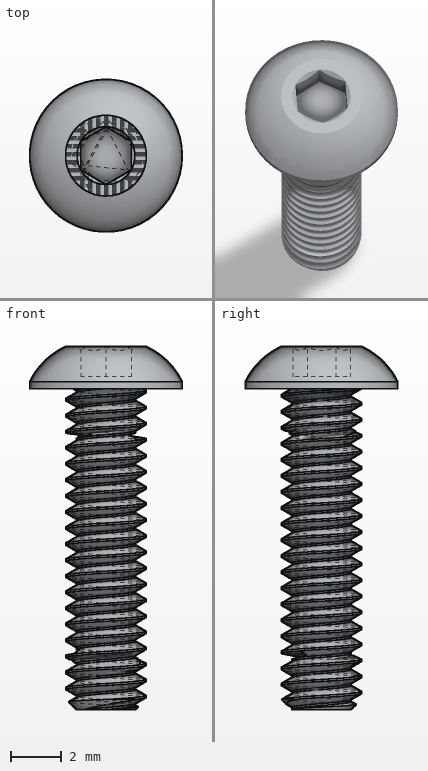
import cadquery as cq
import math

INCH = 25.4

head_diameter = 0.238 * INCH
head_height = 0.066 * INCH
head_flat_diameter = 0.126 * INCH
rim_height = 0.28
dome_bulge = 0.17

socket_across_flats = 5 / 64 * INCH
socket_depth = 1.17
socket_corner_diameter = socket_across_flats / math.cos(math.pi / 6)
countersink_half_angle = math.radians(45)

shank_length = 0.5 * INCH
major_diameter = 0.125 * INCH
pitch = INCH / 40
crest_width = pitch / 8
root_width = pitch / 8
flank_half_angle = math.radians(30)
thread_depth = (pitch - crest_width - root_width) / 2 / math.tan(flank_half_angle)
tip_chamfer = 0.42
first_crest_drop = 0.11
cutter_clearance = 0.04
groove_extra_turns = 3
blank_overrun = 4
envelope_clearance = 0.3


def make_head():
    """Revolve a domed profile with a short cylindrical rim."""
    rim_radius = head_diameter / 2
    flat_radius = head_flat_diameter / 2
    chord_run = rim_radius - flat_radius
    chord_rise = head_height - rim_height
    chord = math.hypot(chord_run, chord_rise)
    dome_middle = (
        (rim_radius + flat_radius) / 2 + dome_bulge * chord_rise / chord,
        (rim_height + head_height) / 2 + dome_bulge * chord_run / chord,
    )
    profile = (
        cq.Workplane("XZ")
        .lineTo(rim_radius, 0)
        .lineTo(rim_radius, rim_height)
        .threePointArc(dome_middle, (flat_radius, head_height))
        .lineTo(0, head_height)
        .close()
    )
    return profile.revolve(360, (0, 0, 0), (0, 1, 0))


def make_socket():
    """Hexagonal recess with corners on the Y axis and a countersunk mouth."""
    hexagon = (
        cq.Workplane("XY", origin=(0, 0, head_height))
        .transformed(rotate=(0, 0, 90))
        .polygon(6, socket_corner_diameter)
        .extrude(-socket_depth)
    )
    mouth_radius = socket_corner_diameter / 2
    cone_depth = mouth_radius / math.tan(countersink_half_angle)
    cone = cq.Solid.makeCone(
        mouth_radius, 0, cone_depth, pnt=cq.Vector(0, 0, head_height), dir=cq.Vector(0, 0, -1)
    )
    return hexagon.union(cq.Workplane(cone))


def make_thread_groove():
    """Helical trapezoidal cutter that runs past both ends of the shank."""
    major_radius = major_diameter / 2
    root_radius = major_radius - thread_depth
    outer_radius = major_radius + cutter_clearance
    root_half = root_width / 2
    outer_half = root_half + (outer_radius - root_radius) * math.tan(flank_half_angle)

    turns = math.ceil(shank_length / pitch) + groove_extra_turns
    groove_top = pitch / 2 - first_crest_drop + pitch
    groove_bottom = groove_top - turns * pitch
    helix = cq.Wire.makeHelix(pitch, turns * pitch, root_radius).translate(cq.Vector(0, 0, groove_bottom))
    section = cq.Workplane("XZ").polyline(
        [
            (root_radius, groove_bottom - root_half),
            (outer_radius, groove_bottom - outer_half),
            (outer_radius, groove_bottom + outer_half),
            (root_radius, groove_bottom + root_half),
        ]
    ).close()
    return section.sweep(cq.Workplane(helix), isFrenet=True)


def make_shank():
    """Threaded rod with its tip chamfered to just below the thread root."""
    blank = (
        cq.Workplane("XY", origin=(0, 0, blank_overrun))
        .circle(major_diameter / 2)
        .extrude(-shank_length - 2 * blank_overrun)
    )
    envelope_radius = major_diameter / 2 + envelope_clearance
    envelope = (
        cq.Workplane("XY")
        .circle(envelope_radius)
        .extrude(-shank_length)
        .faces("<Z")
        .chamfer(tip_chamfer + envelope_clearance)
    )
    return blank.cut(make_thread_groove()).intersect(envelope)


result = make_head().cut(make_socket()).union(make_shank())